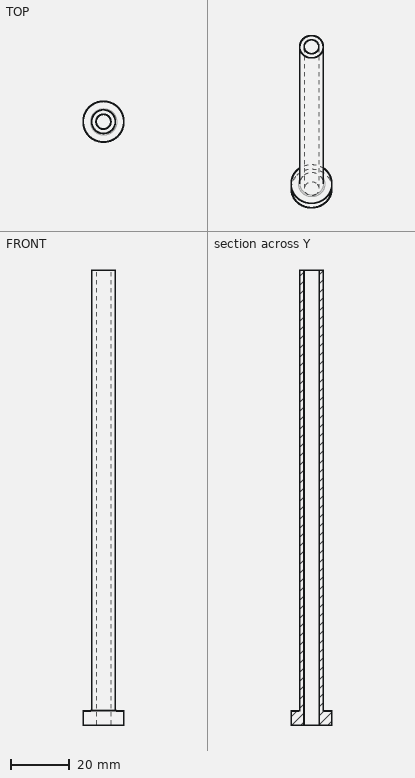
import cadquery as cq

total_length = 155.0
head_diameter = 14.0
head_height = 5.0
tube_diameter = 8.0
bore_diameter = 5.0
neck_fillet = 0.5

head = cq.Workplane("XY").circle(head_diameter / 2).extrude(head_height)
tube = cq.Workplane("XY").circle(tube_diameter / 2).extrude(total_length)
body = head.union(tube)

body = body.faces("<Z[1]").edges(cq.selectors.RadiusNthSelector(0)).fillet(neck_fillet)

result = body.faces(">Z").workplane().circle(bore_diameter / 2).cutThruAll()